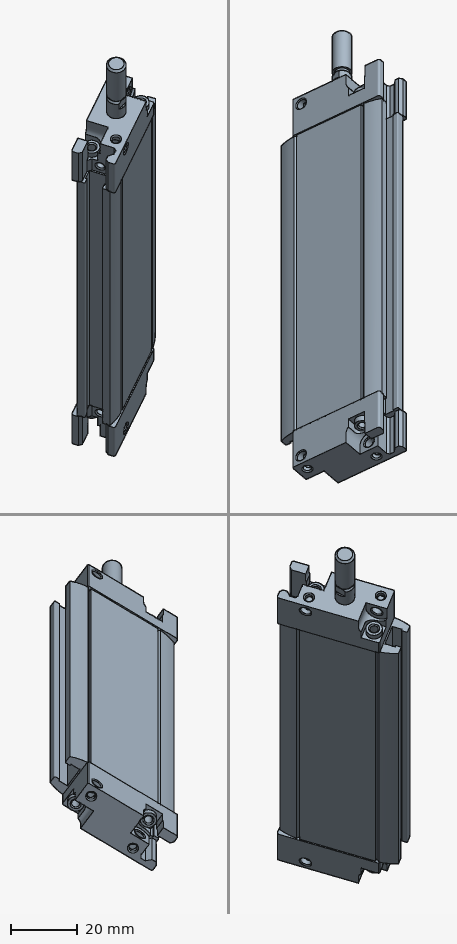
import cadquery as cq
import math

TOTAL_LENGTH = 165.0
CAP_HEIGHT = 14.0
BODY_TOP = 142.0
TUBE_LENGTH = BODY_TOP - 2 * CAP_HEIGHT

CAP_WIDTH = 14.0
CAP_HALF_WIDTH = CAP_WIDTH / 2
CAP_BACK_Y = 13.4
CAP_FRONT_Y = -19.1
CAP_BACK_CHAMFER = 0.3
FINGER_RADIUS = 0.7

SLOT_FLOOR_Y = -13.4
SLOT_HALF_WIDTH = 3.8
SLOT_MOUTH_CHAMFER_WIDTH = 1.0
SLOT_MOUTH_CHAMFER_DEPTH = 0.8
UNDERCUT_X = 5.3
UNDERCUT_FLOOR_X = 4.5
UNDERCUT_START_Y = -14.0
UNDERCUT_SIDE_END_Y = -15.5
UNDERCUT_END_Y = -17.0
WEB_SIZE = 1.2

SCREW_X = 3.8
CROSS_HOLE_Y = 10.0
CROSS_HOLE_DEPTH = 3.1
CROSS_HOLE_DIAMETER = 3.3
CROSS_HOLE_MOUTH = 4.0
POCKET_Y = 10.2
POCKET_WIDTH = 7.1
BOSS_Y = 10.5
BOSS_DIAMETER = 5.0
BOSS_TOP_DEPTH = 6.6
SEAT_DIAMETER = 6.0
SEAT_DEPTH = 8.5

BLIND_DIAMETER = 2.5
BLIND_MOUTH = 3.3
BLIND_DEPTH = 5.0
DRILL_POINT_ANGLE = 118.0
PORT_HEIGHT = 11.0

TUBE_HALF_LENGTH = 18.8
TUBE_HALF_WIDTH = 6.6
NOTCH_DEPTH = 1.0
NOTCH_START_Y = 12.0
FINGER_TIP_X = 5.3
FINGER_MIDDLE = (6.1, 16.2)
GROOVE_HALF_WIDTH = 3.3
GROOVE_FLOOR_Y = 13.9
LIP_HALF_GAP = 2.8
LIP_START_Y = 17.0
LIP_RADIUS = 0.3

ROD_DIAMETER = 6.0
ROD_TIP_CHAMFER = 0.7
NECK_DIAMETER = 4.8
NECK_TOP = 150.5
NECK_CONE_TOP = 149.7
NECK_CONE_BOTTOM = 149.0
FLATS_BOTTOM = 146.5
FLATS_ACROSS = 4.8
FLATS_ANGLE = -16.0


def cylinder(diameter, length, start, direction):
    solid = cq.Solid.makeCylinder(diameter / 2, length, cq.Vector(*start), cq.Vector(*direction))
    return cq.Workplane(solid)


def cone(start_diameter, end_diameter, length, start, direction):
    solid = cq.Solid.makeCone(
        start_diameter / 2, end_diameter / 2, length, cq.Vector(*start), cq.Vector(*direction)
    )
    return cq.Workplane(solid)


def box_between(low, high):
    size = [end - start for start, end in zip(low, high)]
    return cq.Workplane("XY").box(*size, centered=False).translate(low)


def blind_hole(start, direction):
    """Cutter for a drilled hole with a countersunk mouth and a pointed bottom."""
    sink = (BLIND_MOUTH - BLIND_DIAMETER) / 2
    point_length = BLIND_DIAMETER / 2 / math.tan(math.radians(DRILL_POINT_ANGLE / 2))
    bottom = [place + BLIND_DEPTH * step for place, step in zip(start, direction)]
    drill = cylinder(BLIND_DIAMETER, BLIND_DEPTH, start, direction)
    drill = drill.union(cone(BLIND_MOUTH, BLIND_DIAMETER, sink, start, direction))
    return drill.union(cone(BLIND_DIAMETER, 0, point_length, bottom, direction))


def cap_block():
    """Plain block with two fingers beside a slot, its outer end at Z = 0."""
    round_start_x = CAP_HALF_WIDTH - FINGER_RADIUS
    round_start_y = CAP_FRONT_Y + FINGER_RADIUS
    round_middle = FINGER_RADIUS * math.sqrt(0.5)
    half = (
        cq.Workplane("XY")
        .moveTo(0, CAP_BACK_Y)
        .lineTo(CAP_HALF_WIDTH - CAP_BACK_CHAMFER, CAP_BACK_Y)
        .lineTo(CAP_HALF_WIDTH, CAP_BACK_Y - CAP_BACK_CHAMFER)
        .lineTo(CAP_HALF_WIDTH, round_start_y)
        .threePointArc(
            (round_start_x + round_middle, round_start_y - round_middle), (round_start_x, CAP_FRONT_Y)
        )
        .lineTo(SLOT_HALF_WIDTH + SLOT_MOUTH_CHAMFER_WIDTH, CAP_FRONT_Y)
        .lineTo(SLOT_HALF_WIDTH, CAP_FRONT_Y + SLOT_MOUTH_CHAMFER_DEPTH)
        .lineTo(SLOT_HALF_WIDTH, SLOT_FLOOR_Y)
        .lineTo(0, SLOT_FLOOR_Y)
        .mirrorY()
    )
    return half.extrude(CAP_HEIGHT)


def slot_undercut():
    points = [
        (SLOT_HALF_WIDTH, SLOT_FLOOR_Y),
        (UNDERCUT_FLOOR_X, SLOT_FLOOR_Y),
        (UNDERCUT_X, UNDERCUT_START_Y),
        (UNDERCUT_X, UNDERCUT_SIDE_END_Y),
        (SLOT_HALF_WIDTH, UNDERCUT_END_Y),
    ]
    return cq.Workplane("XY").polyline(points).close().extrude(CAP_HEIGHT)


def slot_web():
    """Sloping web that fills the floor corner of the slot, inward of the screw seat."""
    points = [
        (-SLOT_HALF_WIDTH, SLOT_FLOOR_Y),
        (-SLOT_HALF_WIDTH + WEB_SIZE, SLOT_FLOOR_Y),
        (-SLOT_HALF_WIDTH, SLOT_FLOOR_Y - WEB_SIZE),
    ]
    start = cq.Workplane("XY").workplane(offset=SEAT_DEPTH)
    return start.polyline(points).close().extrude(CAP_HEIGHT - SEAT_DEPTH)


def screw_seat():
    """Round seat, square towards the fingers and open to the -X side, with a boss on its floor."""
    radius = SEAT_DIAMETER / 2
    outer_y = -BOSS_Y - radius
    boss_top = (-SCREW_X, -BOSS_Y, BOSS_TOP_DEPTH)
    seat = cylinder(SEAT_DIAMETER, SEAT_DEPTH, (-SCREW_X, -BOSS_Y, 0), (0, 0, 1))
    open_side = box_between((-CAP_HALF_WIDTH, outer_y, 0), (-SCREW_X, -BOSS_Y + radius, SEAT_DEPTH))
    square_side = box_between(
        (-SCREW_X, outer_y, CROSS_HOLE_DEPTH), (-SCREW_X + radius, -BOSS_Y, SEAT_DEPTH)
    )
    boss = cylinder(BOSS_DIAMETER, SEAT_DEPTH - BOSS_TOP_DEPTH, boss_top, (0, 0, 1))
    seat = seat.union(open_side).union(square_side).cut(boss)
    return seat.union(blind_hole(boss_top, (0, 0, 1)))


def screw_pocket():
    """Round-bottomed pocket open to the -X side, reaching the middle plane."""
    half_width = POCKET_WIDTH / 2
    mouth = box_between(
        (-CAP_HALF_WIDTH, -POCKET_Y - half_width, 0), (0, -POCKET_Y + half_width, CROSS_HOLE_DEPTH)
    )
    bottom_start = (-CAP_HALF_WIDTH, -POCKET_Y, CROSS_HOLE_DEPTH)
    return mouth.union(cylinder(POCKET_WIDTH, CAP_HALF_WIDTH, bottom_start, (1, 0, 0)))


def cross_hole():
    """Hole from the pocket wall to the +X side, countersunk at both ends."""
    sink = (CROSS_HOLE_MOUTH - CROSS_HOLE_DIAMETER) / 2
    inner = (0, -CROSS_HOLE_Y, CROSS_HOLE_DEPTH)
    outer = (CAP_HALF_WIDTH, -CROSS_HOLE_Y, CROSS_HOLE_DEPTH)
    hole = cylinder(CROSS_HOLE_DIAMETER, CAP_HALF_WIDTH, inner, (1, 0, 0))
    hole = hole.union(cone(CROSS_HOLE_MOUTH, CROSS_HOLE_DIAMETER, sink, inner, (1, 0, 0)))
    return hole.union(cone(CROSS_HOLE_MOUTH, CROSS_HOLE_DIAMETER, sink, outer, (-1, 0, 0)))


def end_cap():
    """Lower cap, its outer end at Z = 0."""
    cap = cap_block().cut(slot_undercut()).union(slot_web())
    end_hole = blind_hole((SCREW_X, -CROSS_HOLE_Y, 0), (0, 0, 1))
    cutters = [screw_pocket(), screw_seat(), cross_hole(), end_hole]
    for turn in (0, 180):
        for cutter in cutters:
            cap = cap.cut(cutter.rotate((0, 0, 0), (0, 0, 1), turn))
    return cap.cut(blind_hole((0, SLOT_FLOOR_Y, PORT_HEIGHT), (0, 1, 0)))


def tube():
    """Extruded profile with a lipped groove at both narrow ends."""
    round_x = LIP_HALF_GAP + LIP_RADIUS
    round_y = TUBE_HALF_LENGTH - LIP_RADIUS
    round_middle = LIP_RADIUS * math.sqrt(0.5)
    quarter = (
        cq.Workplane("XY")
        .workplane(offset=CAP_HEIGHT)
        .lineTo(TUBE_HALF_WIDTH, 0)
        .lineTo(TUBE_HALF_WIDTH, NOTCH_START_Y)
        .lineTo(TUBE_HALF_WIDTH - NOTCH_DEPTH, NOTCH_START_Y)
        .lineTo(TUBE_HALF_WIDTH, NOTCH_START_Y + NOTCH_DEPTH)
        .threePointArc(FINGER_MIDDLE, (FINGER_TIP_X, TUBE_HALF_LENGTH))
        .lineTo(round_x, TUBE_HALF_LENGTH)
        .threePointArc(
            (round_x - round_middle, round_y + round_middle), (LIP_HALF_GAP, round_y)
        )
        .lineTo(LIP_HALF_GAP, LIP_START_Y)
        .lineTo(GROOVE_HALF_WIDTH, LIP_START_Y)
        .lineTo(GROOVE_HALF_WIDTH, GROOVE_FLOOR_Y)
        .lineTo(0, GROOVE_FLOOR_Y)
        .close()
        .extrude(TUBE_LENGTH)
    )
    half = quarter.union(quarter.mirror("YZ"))
    return half.union(half.mirror("XZ")).clean()


def piston_rod():
    """Rod with a chamfered tip, a neck and two wrench flats; it passes down through the upper cap."""
    rod_radius = ROD_DIAMETER / 2
    neck_radius = NECK_DIAMETER / 2
    rod_bottom = BODY_TOP - CAP_HEIGHT
    half_section = [
        (0, rod_bottom),
        (rod_radius, rod_bottom),
        (rod_radius, NECK_CONE_BOTTOM),
        (neck_radius, NECK_CONE_TOP),
        (neck_radius, NECK_TOP),
        (rod_radius, NECK_TOP),
        (rod_radius, TOTAL_LENGTH - ROD_TIP_CHAMFER),
        (rod_radius - ROD_TIP_CHAMFER, TOTAL_LENGTH),
        (0, TOTAL_LENGTH),
    ]
    rod = cq.Workplane("XZ").polyline(half_section).close().revolve(360, (0, 0, 0), (0, 1, 0))
    flat = box_between(
        (FLATS_ACROSS / 2, -ROD_DIAMETER, FLATS_BOTTOM), (ROD_DIAMETER, ROD_DIAMETER, NECK_CONE_TOP)
    )
    for turn in (0, 180):
        rod = rod.cut(flat.rotate((0, 0, 0), (0, 0, 1), FLATS_ANGLE + turn))
    return rod


lower_cap = end_cap()
tube_body = tube()
rod_hole = cylinder(ROD_DIAMETER, CAP_HEIGHT, (0, 0, BODY_TOP - CAP_HEIGHT), (0, 0, 1))
upper_cap = end_cap().mirror("XY").translate((0, 0, BODY_TOP)).cut(rod_hole)
rod_body = piston_rod()

result = cq.Compound.makeCompound([lower_cap.val(), tube_body.val(), upper_cap.val(), rod_body.val()])